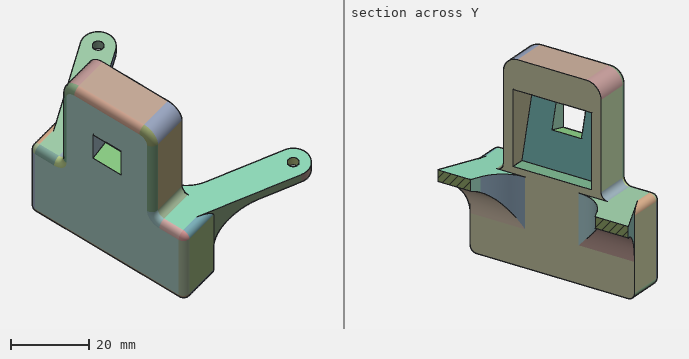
import cadquery as cq
import math

base_width = 50.4
base_height = 26.0
tower_width = 30.0
total_height = 58.86
body_depth = 12.0
edge_radius = 2.0
tower_corner_radius = 4.5

arm_span = 72.27
arm_thickness = 3.0
arm_hole_x = 31.5
arm_hole_y = 25.0
arm_hole_diameter = 3.0
arm_end_radius = arm_span / 2 - arm_hole_x
arm_root_radius = 10.6
gusset_radius = 12.0

window_side = 9.0
window_bottom = 36.3
window_slope = math.radians(15.0)
window_floor_length = 5.5

pocket_side_wall = 3.0
pocket_bottom = base_height + edge_radius
pocket_top = 50.0

floor_end_y = -body_depth + window_floor_length * math.cos(window_slope)
floor_end_z = window_bottom + window_floor_length * math.sin(window_slope)


def make_body():
    """Base and tower in one block, rounded at its corners and around the front face."""
    half_base = base_width / 2
    half_tower = tower_width / 2
    outline = [
        (-half_base, 0),
        (half_base, 0),
        (half_base, base_height),
        (half_tower, base_height),
        (half_tower, total_height),
        (-half_tower, total_height),
        (-half_tower, base_height),
        (-half_base, base_height),
    ]
    block = cq.Workplane("XZ").polyline(outline).close().extrude(body_depth)
    block = block.edges("|Y").edges("not >Z").fillet(edge_radius)
    block = block.edges("|Y").edges(">Z").fillet(tower_corner_radius)
    return block.faces("<Y").edges().fillet(edge_radius)


def make_arm():
    """Right-hand arm: a bar tangent to its round end, thickened below by a concave gusset."""
    corner_x = base_width / 2
    reach = math.hypot(arm_hole_x - corner_x, arm_hole_y)
    lean = math.atan2(arm_hole_x - corner_x, arm_hole_y) + math.asin(arm_end_radius / reach)
    along = (math.sin(lean), math.cos(lean))
    across = (math.cos(lean), -math.sin(lean))

    end = (arm_hole_x, arm_hole_y)
    outer = tuple(c + arm_end_radius * a for c, a in zip(end, across))
    inner = tuple(c - arm_end_radius * a for c, a in zip(end, across))
    tip = tuple(c + arm_end_radius * a for c, a in zip(end, along))

    root_x = corner_x - edge_radius
    root_y = -edge_radius / math.tan(lean)

    inner_foot_x = inner[0] - inner[1] * math.tan(lean)
    root_turn = math.pi / 2 - lean
    root_tangent = arm_root_radius * math.tan(root_turn / 2)
    arc_start = (inner_foot_x + root_tangent * along[0], root_tangent * along[1])
    arc_end = (inner_foot_x - root_tangent, 0)
    arc_middle = (
        arc_end[0] + arm_root_radius * math.sin(root_turn / 2),
        arm_root_radius * (1 - math.cos(root_turn / 2)),
    )

    plan = (
        cq.Workplane("XY")
        .moveTo(root_x, root_y)
        .lineTo(*outer)
        .threePointArc(tip, inner)
        .lineTo(*arc_start)
        .threePointArc(arc_middle, arc_end)
        .lineTo(arc_end[0], root_y)
        .close()
        .extrude(base_height)
    )

    underside = base_height - arm_thickness
    arm_length = arm_hole_y + arm_end_radius
    bend = gusset_radius * (1 - math.sqrt(0.5))
    side = (
        cq.Workplane("YZ")
        .moveTo(root_y, base_height)
        .lineTo(arm_length, base_height)
        .lineTo(arm_length, underside)
        .lineTo(gusset_radius, underside)
        .threePointArc((bend, underside - bend), (0, underside - gusset_radius))
        .lineTo(root_y, underside - gusset_radius)
        .close()
        .extrude(arm_hole_x + arm_end_radius)
    )
    hole = (
        cq.Workplane("XY")
        .center(arm_hole_x, arm_hole_y)
        .circle(arm_hole_diameter / 2)
        .extrude(base_height)
    )
    return plan.intersect(side).cut(hole)


def make_window():
    """Square passage through the front wall, rising towards the rear."""
    opening_height = window_side / math.cos(window_slope)
    return (
        cq.Workplane("YZ")
        .moveTo(-body_depth, window_bottom)
        .lineTo(floor_end_y, floor_end_z)
        .lineTo(floor_end_y, floor_end_z + opening_height)
        .lineTo(-body_depth, window_bottom + opening_height)
        .close()
        .extrude(window_side / 2, both=True)
    )


def pocket_face_y(z):
    """Y of the leaning front face of the pocket at height z."""
    return floor_end_y - (z - floor_end_z) * math.tan(window_slope)


def make_pocket():
    """Recess open to the rear, with a flat floor and ceiling and a leaning front face."""
    return (
        cq.Workplane("YZ")
        .moveTo(0, pocket_bottom)
        .lineTo(pocket_face_y(pocket_bottom), pocket_bottom)
        .lineTo(pocket_face_y(pocket_top), pocket_top)
        .lineTo(0, pocket_top)
        .close()
        .extrude(tower_width / 2 - pocket_side_wall, both=True)
    )


right_arm = make_arm()
left_arm = right_arm.mirror("YZ")
result = make_body().union(right_arm).union(left_arm).cut(make_pocket()).cut(make_window())